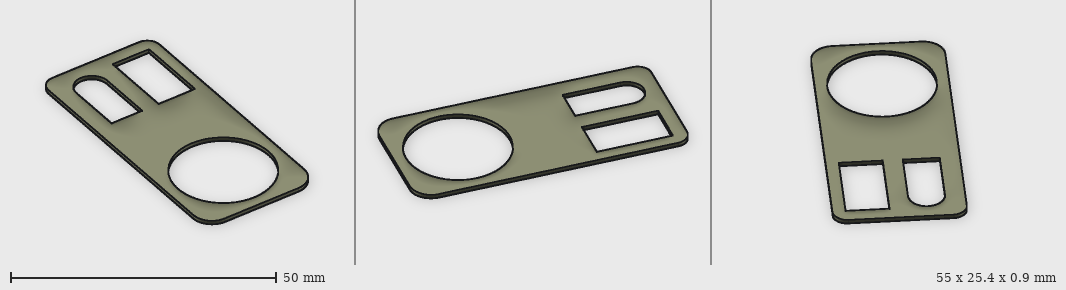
import cadquery as cq

length = 55.0
width = 25.4
thickness = 0.9
left_corner_radius = 2.75
right_corner_radius = 4.3

circle_x = 14.8
circle_diameter = 20.75

openings_right = -9.35

rectangle_length = 15.25
rectangle_width = 8.3
rectangle_y = 6.05

slot_length = 15.05
slot_width = 7.0
slot_y = -5.4


def make_plate():
    plate = cq.Workplane("XY").box(length, width, thickness, centered=(True, True, False))
    plate = plate.edges("|Z and <X").fillet(left_corner_radius)
    return plate.edges("|Z and >X").fillet(right_corner_radius)


def make_round_cutter():
    return cq.Workplane("XY").center(circle_x, 0).circle(circle_diameter / 2).extrude(thickness)


def make_rectangle_cutter():
    center_x = openings_right - rectangle_length / 2
    outline = cq.Workplane("XY").center(center_x, rectangle_y).rect(rectangle_length, rectangle_width)
    return outline.extrude(thickness)


def make_slot_cutter():
    radius = slot_width / 2
    left = openings_right - slot_length
    arc_start = left + radius
    top = slot_y + radius
    bottom = slot_y - radius
    return (
        cq.Workplane("XY")
        .moveTo(openings_right, bottom)
        .lineTo(openings_right, top)
        .lineTo(arc_start, top)
        .threePointArc((left, slot_y), (arc_start, bottom))
        .close()
        .extrude(thickness)
    )


result = (
    make_plate()
    .cut(make_round_cutter())
    .cut(make_rectangle_cutter())
    .cut(make_slot_cutter())
)